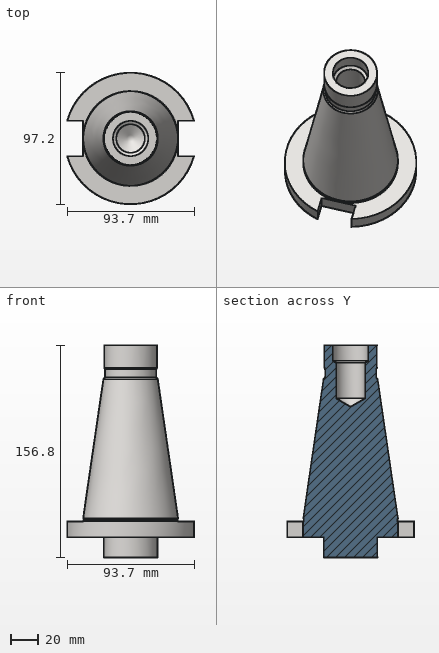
import cadquery as cq
import math

total_height = 156.8
flange_bottom = 15.0
flange_top = 26.8
taper_bottom = 29.3
taper_top = 131.7

flange_diameter = 97.2
boss_diameter = 40.0
boss_chamfer = 0.5
relief_diameter = 69.5
taper_ratio = 7 / 24
taper_small_diameter = 40.3
taper_large_diameter = taper_small_diameter + taper_ratio * (taper_top - taper_bottom)

relief_top = 28.5
relief_bottom = 27.5
relief_foot_diameter = 70.1

collar_diameter = 39.2
collar_length = 16.6
collar_bottom = total_height - collar_length
groove_diameter = 38.0
groove_upper_slope_height = 1.3
groove_lower_slope_height = 1.4
groove_top = collar_bottom - groove_upper_slope_height
groove_bottom = taper_top + groove_lower_slope_height

bore_diameter = 26.0
bore_depth = 11.5
pilot_diameter = 21.0
pilot_depth = 39.2
cone_half_angle = math.radians(60)

slot_width = 25.9
slot_floor_spacing = 70.2


def revolve_profile(points):
    """Revolve a closed (diameter, height) profile about the Z axis."""
    outline = [(diameter / 2, height) for diameter, height in points]
    return cq.Workplane("XZ").polyline(outline).close().revolve(360, (0, 0), (0, 1))


def make_body():
    return revolve_profile([
        (0, 0),
        (boss_diameter - 2 * boss_chamfer, 0),
        (boss_diameter, boss_chamfer),
        (boss_diameter, flange_bottom),
        (flange_diameter, flange_bottom),
        (flange_diameter, flange_top),
        (relief_foot_diameter, flange_top),
        (relief_diameter, relief_bottom),
        (relief_diameter, relief_top),
        (taper_large_diameter, taper_bottom),
        (taper_small_diameter, taper_top),
        (groove_diameter, groove_bottom),
        (groove_diameter, groove_top),
        (collar_diameter, collar_bottom),
        (collar_diameter, total_height),
        (0, total_height),
    ])


def make_bore():
    """Bore, conical step, pilot hole and conical drill tip."""
    step_depth = (bore_diameter - pilot_diameter) / 2 / math.tan(cone_half_angle)
    tip_depth = pilot_diameter / 2 / math.tan(cone_half_angle)
    bore_bottom = total_height - bore_depth
    pilot_bottom = total_height - pilot_depth
    return revolve_profile([
        (0, total_height),
        (bore_diameter, total_height),
        (bore_diameter, bore_bottom),
        (pilot_diameter, bore_bottom - step_depth),
        (pilot_diameter, pilot_bottom),
        (0, pilot_bottom - tip_depth),
    ])


def make_drive_slot(side):
    """Slot cutter on the +X (side = 1) or -X (side = -1) edge of the flange."""
    slot_length = flange_diameter / 2
    center_x = side * (slot_floor_spacing / 2 + slot_length / 2)
    return (
        cq.Workplane("XY", origin=(center_x, 0, flange_bottom))
        .rect(slot_length, slot_width)
        .extrude(flange_top - flange_bottom)
    )


result = make_body().cut(make_bore())
for side in (-1, 1):
    result = result.cut(make_drive_slot(side))